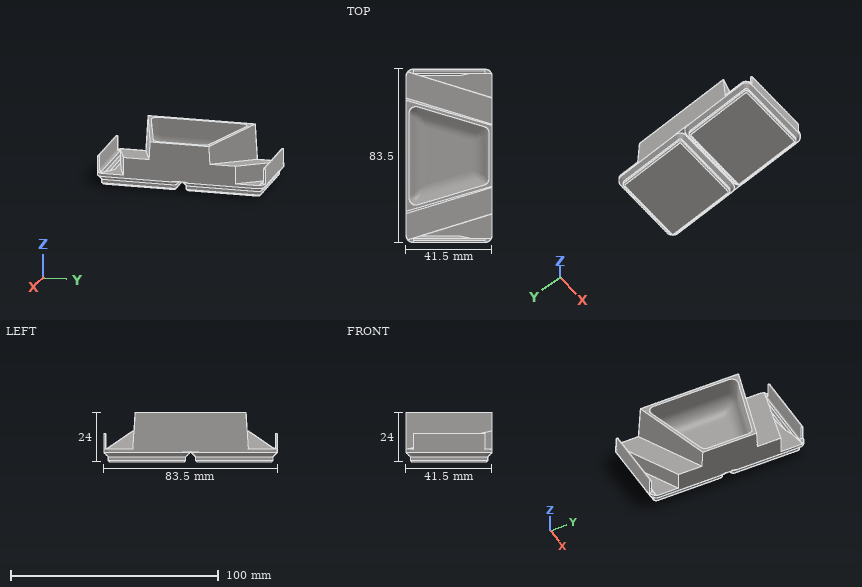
import cadquery as cq
import math


length = 83.5
width = 41.5
height = 24.0
skin = 1.0

foot_chamfer = 0.8
foot_straight = 1.75
foot_flare = 2.1
foot_rim = 0.3
foot_gap = 0.5
foot_corner_radius = 1.5
shank_top = foot_chamfer + foot_straight
flare_top = shank_top + foot_flare
feet_top = flare_top + foot_rim

deck_top = 6.3
deck_corner_radius = foot_corner_radius + foot_flare

wall_top = 13.9
wall_width = width - 2 * deck_corner_radius
wall_tip_radius = 0.46

ramp_angle = 12.0
ramp_rise = width * math.tan(math.radians(ramp_angle))
shelf_start = deck_top
slot_floor_start = deck_top - ramp_rise

shelf_bottom_half = (40.7, 28.05)
shelf_top_half = (40.7, 27.8)
cup_top_half = (26.7, 14.6)
cup_draft = 1.1
cup_bottom_half = tuple(half + cup_draft for half in cup_top_half)

pocket_half = (24.8, 13.4)
pocket_side_wall = 1.5
pocket_floor = 6.85
pocket_floor_radius = 8.0
pocket_corner_diameter = 6.4


def wedge_points(half_lengths, half_width=width / 2):
    """Corners of a trapezoid that is symmetric about the X axis."""
    left, right = half_lengths
    return [(-half_width, -left), (half_width, -right), (half_width, right), (-half_width, left)]


def wedge_block(bottom_half, top_half, bottom, top):
    """Straight-sided block between a lower and an upper trapezoid."""
    return (
        cq.Workplane("XY", origin=(0, 0, bottom))
        .polyline(wedge_points(bottom_half))
        .close()
        .workplane(offset=top - bottom)
        .polyline(wedge_points(top_half))
        .close()
        .loft(ruled=True)
    )


def above_ramp(start):
    """Space above a ramp that climbs from height start at the -X side."""
    ceiling = 2 * height
    outline = [
        (-width / 2, start),
        (width / 2, start + ramp_rise),
        (width / 2, ceiling),
        (-width / 2, ceiling),
    ]
    return cq.Workplane("XZ").polyline(outline).close().extrude(length / 2, both=True)


def rounded_block(size_x, size_y, bottom, top, corner_radius):
    """Block with rounded upright corners, centred on the Z axis."""
    return (
        cq.Workplane("XY", origin=(0, 0, bottom))
        .rect(size_x, size_y)
        .extrude(top - bottom)
        .edges("|Z")
        .fillet(corner_radius)
    )


def foot():
    """One stacking foot, centred on the Z axis."""
    foot_length = (length - foot_gap) / 2
    shank = rounded_block(
        width - 2 * foot_flare, foot_length - 2 * foot_flare, 0, shank_top, foot_corner_radius
    )
    flare = (
        shank.faces(">Z")
        .wires()
        .toPending()
        .workplane()
        .extrude(foot_flare, taper=-45, combine=False)
    )
    rim = rounded_block(width, foot_length, flare_top, feet_top, deck_corner_radius)
    return shank.faces("<Z").chamfer(foot_chamfer).union(flare).union(rim)


def base():
    """Two feet joined by the deck."""
    foot_offset = (length + foot_gap) / 4
    solid = rounded_block(width, length, feet_top, deck_top, deck_corner_radius)
    for side in (-1, 1):
        solid = solid.union(foot().translate((0, side * foot_offset, 0)))
    return solid


def slots(shelf):
    """Space outside the shelves, following the foot flare at one skin thickness."""
    mouth = length / 2 - foot_flare
    toe = mouth - skin
    slope_top = shank_top + skin * math.sqrt(2)
    slope_bottom = slope_top - skin
    outline = [
        (0, skin),
        (toe, skin),
        (toe, slope_bottom),
        (mouth, slope_top),
        (mouth, deck_top),
        (0, deck_top),
    ]
    half_trough = cq.Workplane("YZ").polyline(outline).close().extrude(width / 2, both=True)
    trough = half_trough.union(half_trough.mirror("XZ"))
    return trough.intersect(above_ramp(slot_floor_start)).cut(shelf)


def end_wall():
    """Wall at the +Y end with a rounded tip and a cove along its inner foot."""
    outer = length / 2
    inner = outer - skin
    cove_radius = foot_flare - skin
    wall = (
        cq.Workplane("XY", origin=(0, outer - skin / 2, feet_top))
        .rect(wall_width, skin)
        .extrude(wall_top - feet_top)
        .faces(">Z")
        .edges("|X")
        .fillet(wall_tip_radius)
    )
    cove = (
        cq.Workplane("YZ")
        .moveTo(inner, deck_top)
        .lineTo(inner - cove_radius, deck_top)
        .radiusArc((inner, deck_top + cove_radius), -cove_radius)
        .close()
        .extrude(wall_width / 2, both=True)
    )
    return wall.union(cove)


def pocket():
    """Wedge-shaped pocket with a wide floor radius and rounded corners."""
    cutter = (
        cq.Workplane("XY", origin=(0, 0, pocket_floor))
        .polyline(wedge_points(pocket_half, width / 2 - pocket_side_wall))
        .close()
        .extrude(height - pocket_floor)
    )
    cutter = cutter.faces("<Z").edges().fillet(pocket_floor_radius)
    return cutter.edges("|Z").fillet(pocket_corner_diameter / 2)


shelf_block = wedge_block(shelf_bottom_half, shelf_top_half, skin, shelf_start + ramp_rise)
shelf_block = shelf_block.cut(above_ramp(shelf_start))
above_deck = rounded_block(width, length, deck_top, height, deck_corner_radius)
cup_block = wedge_block(cup_bottom_half, cup_top_half, deck_top, height)

result = base().cut(slots(shelf_block))
result = result.union(shelf_block.intersect(above_deck)).union(cup_block)
result = result.union(end_wall()).union(end_wall().mirror("XZ"))
result = result.cut(pocket())